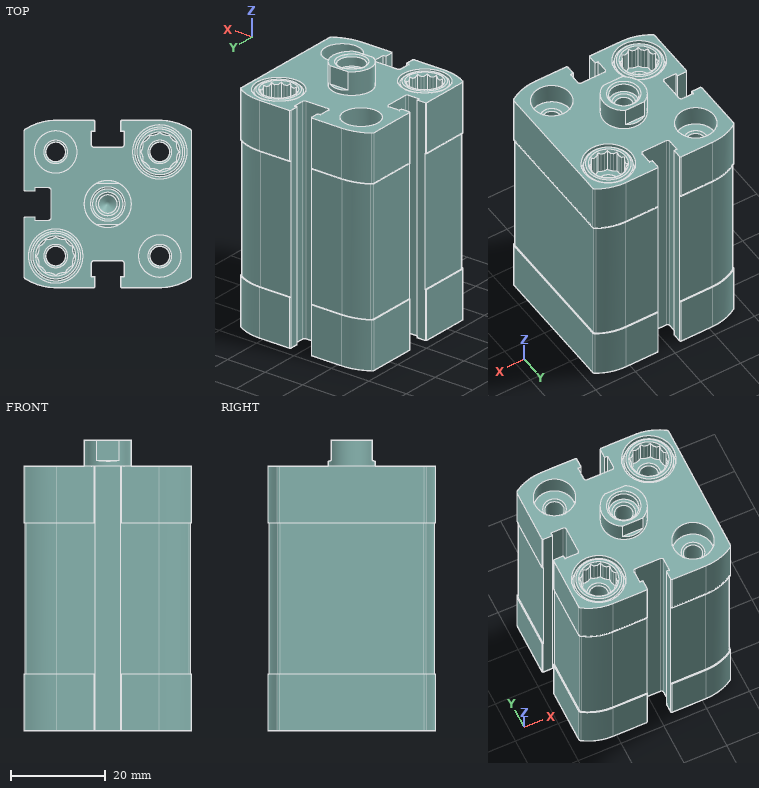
import cadquery as cq
import math

total_height = 61.55
body_height = 56.0
body_width = 35.5
cap_height = 12.0
tube_inset = 0.25

corner_arc_radius = 12.2
corner_arc_start = 10.9
corner_round = 0.6

slot_mouth_width = 5.5
slot_inner_width = 6.9
slot_lip = 2.4
slot_depth = 5.7
slot_edge_chamfer = 0.2
slot_floor_round = 0.5

hole_spacing = 22.05
through_diameter = 4.1
thread_mouth_diameter = 5.0
counterbore_diameter = 9.0
counterbore_depth = 4.9

head_recess_diameter = 11.5
head_diameter = 10.5
head_chamfer = 0.45
head_gap_depth = 2.45
socket_depth = 6.0
socket_mouth_diameter = 8.5
socket_mouth_depth = 0.75
socket_tip_diameter = 7.5
socket_root_diameter = 8.1
socket_tip_width = 0.75
socket_teeth = 12

rod_diameter = 10.0
rod_insertion = 10.0
rod_flat_width = 8.75
rod_flat_height = 4.3
rod_ledge_drop = 0.2
rod_mouth_diameter = 7.25
rod_bore_diameter = 6.4
rod_bore_depth = 2.65
rod_thread_mouth_diameter = 5.0
rod_thread_diameter = 3.95
rod_thread_depth = 10.0
rod_drill_angle = 118.0

half_width = body_width / 2
hole_offset = hole_spacing / 2
rod_bottom = body_height - rod_insertion
counterbored_corners = [(-hole_offset, hole_offset), (hole_offset, -hole_offset)]
screw_corners = [(-hole_offset, -hole_offset), (hole_offset, hole_offset)]


def disc(diameter, bottom, top):
    """Upright cylinder on the Z axis between two heights."""
    return cq.Workplane("XY").workplane(offset=bottom).circle(diameter / 2).extrude(top - bottom)


def mouth_cone(mouth_diameter, small_diameter, top, depth=None):
    """Countersink that narrows downward from the given height, at 45 degrees unless a depth is given."""
    if depth is None:
        depth = (mouth_diameter - small_diameter) / 2
    solid = cq.Solid.makeCone(small_diameter / 2, mouth_diameter / 2, depth, pnt=cq.Vector(0, 0, top - depth))
    return cq.Workplane(obj=solid)


def body_block(inset, bottom, top):
    """Square block whose front and back sides curve in to small rounded corners."""
    arc_center = half_width - corner_arc_radius

    def bow_height(x):
        return arc_center + math.sqrt(corner_arc_radius**2 - (x - corner_arc_start) ** 2)

    side = half_width - inset
    middle_x = (corner_arc_start + side) / 2
    start = (corner_arc_start, half_width - inset)
    middle = (middle_x, bow_height(middle_x) - inset)
    end = (side, bow_height(side) - inset)
    outline = (
        cq.Workplane("XY").workplane(offset=bottom)
        .moveTo(-start[0], start[1])
        .lineTo(*start)
        .threePointArc(middle, end)
        .lineTo(end[0], -end[1])
        .threePointArc((middle[0], -middle[1]), (start[0], -start[1]))
        .lineTo(-start[0], -start[1])
        .threePointArc((-middle[0], -middle[1]), (-end[0], -end[1]))
        .lineTo(-end[0], end[1])
        .threePointArc((-middle[0], middle[1]), (-start[0], start[1]))
        .close()
    )
    block = outline.extrude(top - bottom)
    return block.edges("|Z and (<X or >X)").fillet(corner_round)


def t_slot():
    """Full-height T-slot cutter for the -Y side, with a bevelled mouth and rounded floor corners."""
    mouth = slot_mouth_width / 2
    inner = slot_inner_width / 2
    bevel = mouth + slot_edge_chamfer
    return (
        cq.Workplane("XY")
        .polyline([
            (-bevel, -half_width),
            (-mouth, -half_width + slot_edge_chamfer),
            (-mouth, -half_width + slot_lip),
            (-inner, -half_width + slot_lip),
            (-inner, -half_width + slot_depth),
            (inner, -half_width + slot_depth),
            (inner, -half_width + slot_lip),
            (mouth, -half_width + slot_lip),
            (mouth, -half_width + slot_edge_chamfer),
            (bevel, -half_width),
        ])
        .close()
        .extrude(body_height)
        .edges("|Z and >Y")
        .fillet(slot_floor_round)
    )


def counterbored_hole():
    """Cutter for a countersunk through hole below a flat counterbore."""
    floor = body_height - counterbore_depth
    return (
        disc(through_diameter, 0, body_height)
        .union(mouth_cone(thread_mouth_diameter, through_diameter, floor))
        .union(disc(counterbore_diameter, floor, body_height))
    )


def socket_prism():
    """Twelve-tooth socket: flat tooth tips between V-shaped grooves."""
    pitch = 2 * math.pi / socket_teeth
    tip_radius = socket_tip_diameter / 2
    half_tip = math.asin(socket_tip_width / 2 / tip_radius)
    points = []
    for tooth in range(socket_teeth):
        middle = math.pi / 4 + tooth * pitch
        for radius, angle in (
            (tip_radius, middle - half_tip),
            (tip_radius, middle + half_tip),
            (socket_root_diameter / 2, middle + pitch / 2),
        ):
            points.append((radius * math.cos(angle), radius * math.sin(angle)))
    floor = body_height - socket_depth
    return cq.Workplane("XY").workplane(offset=floor).polyline(points).close().extrude(socket_depth)


def screw_head_hole():
    """Cutter that leaves a bevelled screw head in a ring gap, with a toothed socket and through hole."""
    gap_floor = body_height - head_gap_depth
    socket_floor = body_height - socket_depth
    head = disc(head_diameter, gap_floor, body_height).faces(">Z").chamfer(head_chamfer)
    return (
        disc(head_recess_diameter, gap_floor, body_height)
        .cut(head)
        .union(socket_prism())
        .union(mouth_cone(socket_mouth_diameter, socket_tip_diameter, body_height, socket_mouth_depth))
        .union(mouth_cone(thread_mouth_diameter, through_diameter, socket_floor))
        .union(disc(through_diameter, 0, socket_floor))
    )


def build_housing():
    housing = (
        body_block(0, 0, cap_height)
        .union(body_block(tube_inset, cap_height, body_height - cap_height))
        .union(body_block(0, body_height - cap_height, body_height))
    )
    for turn in (0, -90, 180):
        housing = housing.cut(t_slot().rotate((0, 0, 0), (0, 0, 1), turn))
    for x, y in counterbored_corners:
        housing = housing.cut(counterbored_hole().translate((x, y, 0)))
    for x, y in screw_corners:
        housing = housing.cut(screw_head_hole().translate((x, y, 0)))
    return housing.cut(disc(rod_diameter, rod_bottom, body_height))


def rod_flat():
    """Cutter for the -Y wrench flat, with a ledge that slopes down outward."""
    flat = -rod_flat_width / 2
    outside = -rod_diameter / 2
    ledge = total_height - rod_flat_height
    return (
        cq.Workplane("YZ")
        .polyline([
            (flat, total_height),
            (flat, ledge),
            (outside, ledge - rod_ledge_drop),
            (outside, total_height),
        ])
        .close()
        .extrude(rod_diameter / 2, both=True)
    )


def rod_bore():
    """Cutter for the stepped, countersunk blind bore with a drilled tip."""
    thread_top = total_height - rod_bore_depth
    thread_bottom = total_height - rod_thread_depth
    thread_radius = rod_thread_diameter / 2
    tip_height = thread_radius / math.tan(math.radians(rod_drill_angle / 2))
    tip = cq.Solid.makeCone(0, thread_radius, tip_height, pnt=cq.Vector(0, 0, thread_bottom - tip_height))
    return (
        disc(rod_bore_diameter, thread_top, total_height)
        .union(mouth_cone(rod_mouth_diameter, rod_bore_diameter, total_height))
        .union(disc(rod_thread_diameter, thread_bottom, thread_top))
        .union(mouth_cone(rod_thread_mouth_diameter, rod_thread_diameter, thread_top))
        .union(cq.Workplane(obj=tip))
    )


def build_rod():
    rod = disc(rod_diameter, rod_bottom, total_height).cut(rod_bore())
    for turn in (0, 180):
        rod = rod.cut(rod_flat().rotate((0, 0, 0), (0, 0, 1), turn))
    return rod


housing = build_housing()
rod = build_rod()
result = cq.Compound.makeCompound([housing.val(), rod.val()])